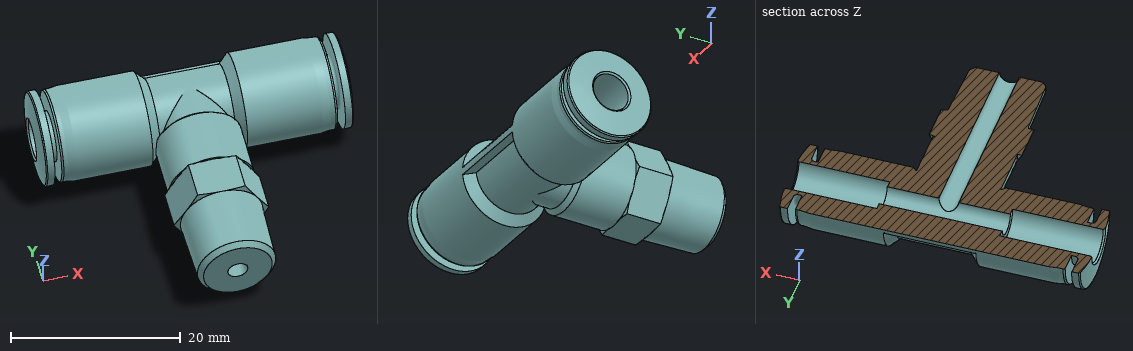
import cadquery as cq
import math

HALF_LENGTH = 19.1
SOCKET_RADIUS = 11.5 / 2
COLLAR_RADIUS = 11.2 / 2
NECK_RADIUS = 6.15 / 2
CORE_RADIUS = 4.6
FLANGE_RIM_X = 18.5
RIM_CHAMFER = 0.15
FLANGE_BACK_X = 17.6
NECK_FILLET = 0.45
COLLAR_FACE_X = 16.73
COLLAR_EDGE_CHAMFER = 0.23
COLLAR_STEP_X = 15.93
SOCKET_FULL_X = 14.9
SOCKET_END_X = 5.73

TUBE_BORE = 4.77
TUBE_BORE_CHAMFER = 0.23
TUBE_STOP_X = 7.65
RUN_BORE = 3.0
BRANCH_BORE = 2.4

WEB_THICKNESS = 1.0

BODY_RADIUS = 10.5 / 2
STEM_END = 4.15
BODY_START = 4.75
HEX_START = 11.55
HEX_END = 16.42
HEX_ACROSS_FLATS = 10.0
HEX_CORNER_CHAMFER = 0.15
THREAD_RADIUS = 5.0
THREAD_TAPER = 1 / 32
THREAD_CHAMFER = 0.6
OVERALL_Y = 30.25
BRANCH_END = OVERALL_Y - SOCKET_RADIUS


def make_socket():
    """Release ring, collar and socket on the +X half, with half of the core."""
    core_end = SOCKET_END_X - (SOCKET_RADIUS - CORE_RADIUS)
    face_radius = TUBE_BORE / 2 + TUBE_BORE_CHAMFER
    dome_mid_radius = (face_radius + SOCKET_RADIUS - RIM_CHAMFER) / 2
    dome_end_x = FLANGE_RIM_X + RIM_CHAMFER
    dome_mid_x = HALF_LENGTH - (HALF_LENGTH - dome_end_x) / 3
    fillet_mid = NECK_FILLET * (1 - 0.5 ** 0.5)
    profile = (
        cq.Workplane("XY")
        .moveTo(0, 0)
        .lineTo(0, CORE_RADIUS)
        .lineTo(core_end, CORE_RADIUS)
        .lineTo(SOCKET_END_X, SOCKET_RADIUS)
        .lineTo(SOCKET_FULL_X, SOCKET_RADIUS)
        .lineTo(COLLAR_STEP_X, COLLAR_RADIUS)
        .lineTo(COLLAR_FACE_X - COLLAR_EDGE_CHAMFER, COLLAR_RADIUS)
        .lineTo(COLLAR_FACE_X, COLLAR_RADIUS - COLLAR_EDGE_CHAMFER / 2)
        .lineTo(COLLAR_FACE_X, NECK_RADIUS)
        .lineTo(FLANGE_BACK_X - NECK_FILLET, NECK_RADIUS)
        .threePointArc(
            (FLANGE_BACK_X - fillet_mid, NECK_RADIUS + fillet_mid),
            (FLANGE_BACK_X, NECK_RADIUS + NECK_FILLET),
        )
        .lineTo(FLANGE_BACK_X, SOCKET_RADIUS)
        .lineTo(FLANGE_RIM_X, SOCKET_RADIUS)
        .lineTo(dome_end_x, SOCKET_RADIUS - RIM_CHAMFER)
        .threePointArc((dome_mid_x, dome_mid_radius), (HALF_LENGTH, face_radius))
        .lineTo(HALF_LENGTH, 0)
        .close()
    )
    return profile.revolve(360, (0, 0, 0), (1, 0, 0))


def make_tube_bore():
    """Cutter for the tube bore and its entry chamfer on the +X side."""
    radius = TUBE_BORE / 2
    profile = (
        cq.Workplane("XY")
        .moveTo(TUBE_STOP_X, 0)
        .lineTo(TUBE_STOP_X, radius)
        .lineTo(HALF_LENGTH - TUBE_BORE_CHAMFER, radius)
        .lineTo(HALF_LENGTH, radius + TUBE_BORE_CHAMFER)
        .lineTo(HALF_LENGTH, 0)
        .close()
    )
    return profile.revolve(360, (0, 0, 0), (1, 0, 0))


def make_hexagon():
    """Hexagon with its corners chamfered at both ends."""
    flat_radius = HEX_ACROSS_FLATS / 2
    corner_radius = flat_radius / math.cos(math.pi / 6)
    prism = (
        cq.Workplane("XZ", origin=(0, -HEX_START, 0))
        .transformed(rotate=(0, 0, 30))
        .polygon(6, HEX_ACROSS_FLATS, circumscribed=True)
        .extrude(HEX_END - HEX_START)
    )
    envelope = [
        (0, -HEX_START),
        (flat_radius, -HEX_START),
        (corner_radius, -HEX_START - HEX_CORNER_CHAMFER),
        (corner_radius, -HEX_END + HEX_CORNER_CHAMFER),
        (flat_radius, -HEX_END),
        (0, -HEX_END),
    ]
    limit = cq.Workplane("XY").polyline(envelope).close().revolve(360, (0, 0, 0), (0, 1, 0))
    return prism.intersect(limit)


def make_branch():
    """Round stem, hexagon and tapered thread."""
    chamfer_start = BRANCH_END - THREAD_CHAMFER
    thread_end_radius = THREAD_RADIUS - THREAD_TAPER * (chamfer_start - HEX_END)
    outline = [
        (0, 0),
        (CORE_RADIUS, 0),
        (CORE_RADIUS, -STEM_END),
        (BODY_RADIUS, -BODY_START),
        (BODY_RADIUS, -HEX_START),
        (CORE_RADIUS, -HEX_START),
        (CORE_RADIUS, -HEX_END),
        (THREAD_RADIUS, -HEX_END),
        (thread_end_radius, -chamfer_start),
        (thread_end_radius - THREAD_CHAMFER, -BRANCH_END),
        (0, -BRANCH_END),
    ]
    turned = cq.Workplane("XY").polyline(outline).close().revolve(360, (0, 0, 0), (0, 1, 0))
    return turned.union(make_hexagon())


def make_web():
    """Flat web behind the core, flush with the socket outside."""
    return cq.Workplane("XY").box(
        2 * SOCKET_END_X, SOCKET_RADIUS, WEB_THICKNESS, centered=(True, False, True)
    )


def make_web_limit():
    """Cylinder that keeps the web inside the socket outside."""
    return cq.Workplane("YZ").circle(SOCKET_RADIUS).extrude(SOCKET_END_X, both=True)


socket = make_socket()
tube_bore = make_tube_bore()
run_bore = cq.Workplane("YZ").workplane(offset=-HALF_LENGTH).circle(RUN_BORE / 2).extrude(2 * HALF_LENGTH)
branch_bore = cq.Workplane("XZ").circle(BRANCH_BORE / 2).extrude(BRANCH_END)

result = (
    socket.union(socket.mirror("YZ"))
    .union(make_branch())
    .union(make_web().intersect(make_web_limit()))
    .cut(tube_bore)
    .cut(tube_bore.mirror("YZ"))
    .cut(run_bore)
    .cut(branch_bore)
)